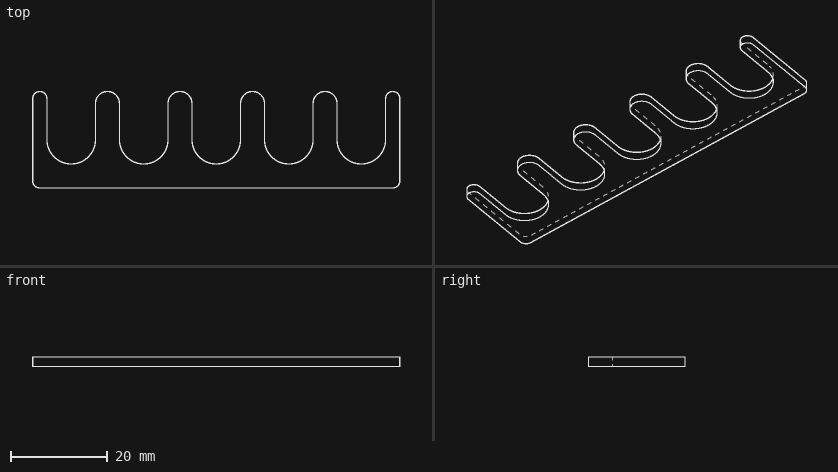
import cadquery as cq

slot_count = 5
slot_width = 10.0
inner_tooth_width = 5.0
end_tooth_width = 3.0
depth = 20.0
spine_width = 5.0
thickness = 2.0

slot_pitch = slot_width + inner_tooth_width
length = slot_count * slot_width + (slot_count - 1) * inner_tooth_width + 2 * end_tooth_width
slot_radius = slot_width / 2
inner_tip_radius = inner_tooth_width / 2
end_tip_radius = end_tooth_width / 2
corner_radius = end_tip_radius
y_back = -depth / 2
y_tip = depth / 2
y_slot_bottom = y_back + spine_width
y_slot_center = y_slot_bottom + slot_radius
x_left = -length / 2
x_right = length / 2


def add_tooth_tip(outline, x_start, radius):
    """Run up one side of a tooth and round its tip over to the other side, going +X."""
    y_center = y_tip - radius
    outline = outline.lineTo(x_start, y_center)
    return outline.threePointArc((x_start + radius, y_tip), (x_start + 2 * radius, y_center))


def add_slot_bottom(outline, x_start):
    """Run down into a slot and round its bottom over to the next tooth, going +X."""
    outline = outline.lineTo(x_start, y_slot_center)
    return outline.threePointArc(
        (x_start + slot_radius, y_slot_bottom),
        (x_start + slot_width, y_slot_center),
    )


def make_comb():
    """Flat comb: a straight spine with round-tipped teeth between round-bottomed slots."""
    outline = cq.Workplane("XY").moveTo(x_left, y_back)
    outline = add_tooth_tip(outline, x_left, end_tip_radius)
    for index in range(slot_count):
        x_slot = x_left + end_tooth_width + index * slot_pitch
        outline = add_slot_bottom(outline, x_slot)
        is_last = index == slot_count - 1
        tip_radius = end_tip_radius if is_last else inner_tip_radius
        outline = add_tooth_tip(outline, x_slot + slot_width, tip_radius)
    return outline.lineTo(x_right, y_back).close().extrude(thickness)


def round_back_corners(body):
    """Round the two outer corners of the spine."""
    return body.faces("<Y").edges("|Z").fillet(corner_radius)


result = round_back_corners(make_comb())